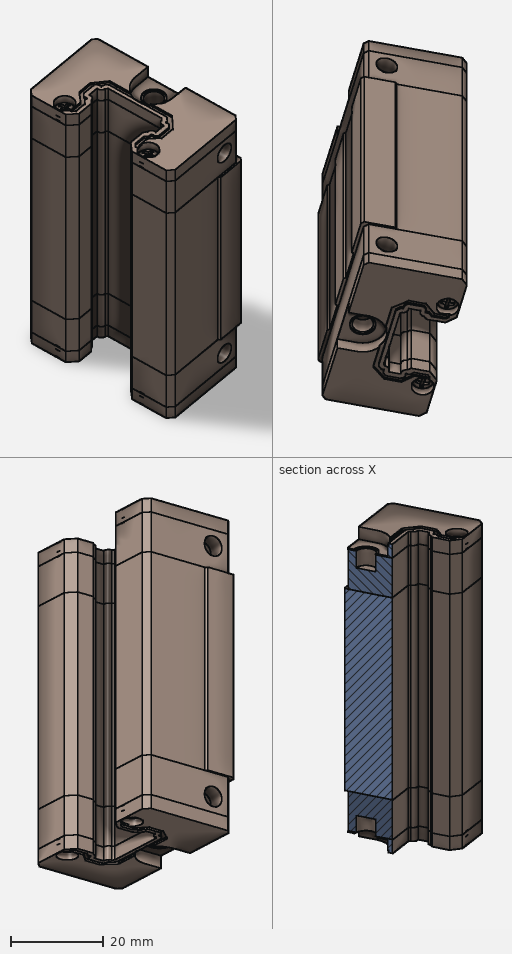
import cadquery as cq
import math

CARRIAGE_WIDTH = 41.47
CARRIAGE_HEIGHT = 23.94
CARRIAGE_LENGTH = 73.04
BLOCK_LENGTH = 47.8
SEAL_THICKNESS = 3.25
CAP_LENGTH = (CARRIAGE_LENGTH - BLOCK_LENGTH) / 2 - SEAL_THICKNESS

CAP_HALF_WIDTH = 20.27
CAP_HEIGHT = 23.15
CAP_TOP_CHAMFER = 0.95
FOOT_CHAMFER = 1.4

SIDE_PAD_BOTTOM = 16.4
SIDE_PAD_STEP = CARRIAGE_WIDTH / 2 - CAP_HALF_WIDTH
BLOCK_TOP_CHAMFER = 0.6
RELIEF_DEPTH = 0.45
RELIEF_INNER_X = 3.75
RELIEF_OUTER_X = 11.6

LIP_THICKNESS = 1.03
LIP_FLOOR_Y = 13.3
LIP_FLOOR_HALF_WIDTH = 8.15
LIP_SIDE_X = 10.6
LIP_JAW_X = 8.28
RACE_X = 9.05
RACE_UPPER_Y = 11.85
RACE_LOWER_Y = 6.95
RACE_STEP = 0.85
LIP_MOUTH_Y = 2.3

CHANNEL_SIDE_X = 9.37
CHANNEL_MOUTH_CHAMFER = 2.05
RIB_RADIUS = 1.12

GROOVE_FLOOR_Y = 14.33
GROOVE_FLOOR_HALF_WIDTH = 8.8
GROOVE_SIDE_X = 11.6
GROOVE_UPPER_Y = 11.2
GROOVE_LOWER_Y = 7.4
GROOVE_JAW_X = 9.27
GROOVE_END_X = 9.5
GROOVE_END_Y = 1.65
GROOVE_DEPTH = 0.5

PORT_Y = 18.75
PORT_RADIUS = 2.3
PORT_CLEARANCE_RADIUS = 2.8
PORT_DEPTH = 4.0
SLOT_RADIUS = 5.25
SLOT_DEPTH = 2.95

SIDE_HOLE_RADIUS = 2.35
SIDE_HOLE_Y = 18.2
SIDE_HOLE_Z = 29.5
SIDE_HOLE_DEPTH = 4.0

SCREW_X = 11.75
SCREW_Y = 2.6
SCREW_RADIUS = 2.42
HEAD_RIM_HEIGHT = 1.2
HEAD_DOME_HEIGHT = 1.0
CROSS_LENGTH = 2.9
CROSS_WIDTH = 0.7
CROSS_DEPTH = 0.9

BLOCK_END = BLOCK_LENGTH / 2
CAP_END = BLOCK_END + CAP_LENGTH
SEAL_END = CAP_END + SEAL_THICKNESS


def mirrored_outline(half):
    """Close the +X half of an outline with its mirror image in -X."""
    return half + [(-x, y) for x, y in reversed(half)]


def lip_outline():
    half = [
        (LIP_FLOOR_HALF_WIDTH, LIP_FLOOR_Y),
        (RACE_X, LIP_FLOOR_Y - (RACE_X - LIP_FLOOR_HALF_WIDTH)),
        (RACE_X, RACE_UPPER_Y),
        (RACE_X + RACE_STEP, RACE_UPPER_Y),
        (LIP_SIDE_X, RACE_UPPER_Y - (LIP_SIDE_X - RACE_X - RACE_STEP)),
        (LIP_SIDE_X, RACE_LOWER_Y + (LIP_SIDE_X - RACE_X - RACE_STEP)),
        (RACE_X + RACE_STEP, RACE_LOWER_Y),
        (RACE_X, RACE_LOWER_Y),
        (RACE_X, RACE_LOWER_Y - RACE_STEP),
        (LIP_JAW_X, RACE_LOWER_Y - RACE_STEP - (RACE_X - LIP_JAW_X)),
        (LIP_JAW_X, LIP_MOUTH_Y),
        (LIP_JAW_X + LIP_MOUTH_Y, 0),
    ]
    return mirrored_outline(half)


def groove_outline():
    """Outer edge of the groove, which runs out into the screw holes."""
    half = [
        (GROOVE_FLOOR_HALF_WIDTH, GROOVE_FLOOR_Y),
        (GROOVE_SIDE_X, GROOVE_UPPER_Y),
        (GROOVE_SIDE_X, GROOVE_LOWER_Y),
        (GROOVE_JAW_X, GROOVE_LOWER_Y - (GROOVE_SIDE_X - GROOVE_JAW_X)),
        (GROOVE_JAW_X, SCREW_Y),
        (GROOVE_END_X, GROOVE_END_Y),
    ]
    return mirrored_outline(half)


def cap_outline():
    half = [
        (CAP_HALF_WIDTH - CAP_TOP_CHAMFER, CAP_HEIGHT),
        (CAP_HALF_WIDTH, CAP_HEIGHT - CAP_TOP_CHAMFER),
        (CAP_HALF_WIDTH, FOOT_CHAMFER),
        (CAP_HALF_WIDTH - FOOT_CHAMFER, 0),
    ]
    return mirrored_outline(half)


def block_outline():
    pad_x = CARRIAGE_WIDTH / 2
    relief_y = CARRIAGE_HEIGHT - RELIEF_DEPTH
    half = [
        (RELIEF_INNER_X, CARRIAGE_HEIGHT),
        (RELIEF_INNER_X + RELIEF_DEPTH, relief_y),
        (RELIEF_OUTER_X - RELIEF_DEPTH, relief_y),
        (RELIEF_OUTER_X, CARRIAGE_HEIGHT),
        (pad_x - BLOCK_TOP_CHAMFER, CARRIAGE_HEIGHT),
        (pad_x, CARRIAGE_HEIGHT - BLOCK_TOP_CHAMFER),
        (pad_x, SIDE_PAD_BOTTOM),
        (CAP_HALF_WIDTH, SIDE_PAD_BOTTOM - SIDE_PAD_STEP),
        (CAP_HALF_WIDTH, FOOT_CHAMFER),
        (CAP_HALF_WIDTH - FOOT_CHAMFER, 0),
    ]
    return mirrored_outline(half)


def prism(outline, z_start, length):
    return cq.Workplane("XY").workplane(offset=z_start).polyline(outline).close().extrude(length)


def rail_channel():
    """Rail clearance through all bodies, with rounded ribs along the ball races."""
    floor_y = LIP_FLOOR_Y - LIP_THICKNESS
    jaw_x = LIP_JAW_X - LIP_THICKNESS
    rib_x = RACE_X - RIB_RADIUS
    rib_upper_y = RACE_UPPER_Y - RIB_RADIUS
    rib_lower_y = RACE_LOWER_Y + RIB_RADIUS
    floor_half_width = rib_x - (floor_y - RACE_UPPER_Y)
    arc_offset = RIB_RADIUS * math.sqrt(0.5)
    half = (
        cq.Workplane("XY")
        .workplane(offset=-SEAL_END)
        .moveTo(0, floor_y)
        .lineTo(floor_half_width, floor_y)
        .lineTo(rib_x, RACE_UPPER_Y)
        .threePointArc((RACE_X - arc_offset, RACE_UPPER_Y - arc_offset), (RACE_X, rib_upper_y))
        .lineTo(CHANNEL_SIDE_X, rib_upper_y)
        .lineTo(CHANNEL_SIDE_X, rib_lower_y)
        .lineTo(RACE_X, rib_lower_y)
        .threePointArc((RACE_X - arc_offset, RACE_LOWER_Y + arc_offset), (rib_x, RACE_LOWER_Y))
        .lineTo(jaw_x, RACE_LOWER_Y - (rib_x - jaw_x))
        .lineTo(jaw_x, CHANNEL_MOUTH_CHAMFER)
        .lineTo(jaw_x + CHANNEL_MOUTH_CHAMFER, 0)
        .lineTo(0, 0)
        .close()
        .extrude(2 * SEAL_END)
    )
    return half.union(half.mirror("YZ"))


def make_block():
    return prism(block_outline(), -BLOCK_END, BLOCK_LENGTH).cut(rail_channel())


def make_end_cap():
    cap = prism(cap_outline(), BLOCK_END, CAP_LENGTH).cut(rail_channel())
    port = (
        cq.Workplane("XY")
        .workplane(offset=CAP_END - PORT_DEPTH)
        .center(0, PORT_Y)
        .circle(PORT_RADIUS)
        .extrude(PORT_DEPTH)
    )
    cap = cap.cut(port)
    for side in (-1, 1):
        side_hole = cq.Solid.makeCylinder(
            SIDE_HOLE_RADIUS,
            SIDE_HOLE_DEPTH,
            cq.Vector(side * CAP_HALF_WIDTH, SIDE_HOLE_Y, SIDE_HOLE_Z),
            cq.Vector(-side, 0, 0),
        )
        cap = cap.cut(cq.Workplane(side_hole))
    return cap


def make_seal():
    plate = prism(cap_outline(), CAP_END, SEAL_THICKNESS)
    groove = prism(groove_outline(), SEAL_END - GROOVE_DEPTH, GROOVE_DEPTH)
    lip = prism(lip_outline(), SEAL_END - GROOVE_DEPTH, GROOVE_DEPTH)
    slot = (
        cq.Workplane("XY")
        .workplane(offset=SEAL_END - SLOT_DEPTH)
        .moveTo(-SLOT_RADIUS, CAP_HEIGHT)
        .lineTo(-SLOT_RADIUS, PORT_Y)
        .threePointArc((0, PORT_Y - SLOT_RADIUS), (SLOT_RADIUS, PORT_Y))
        .lineTo(SLOT_RADIUS, CAP_HEIGHT)
        .close()
        .extrude(SLOT_DEPTH)
    )
    port_clearance = (
        cq.Workplane("XY")
        .workplane(offset=CAP_END)
        .center(0, PORT_Y)
        .circle(PORT_CLEARANCE_RADIUS)
        .extrude(SEAL_THICKNESS)
    )
    screw_holes = (
        cq.Workplane("XY")
        .workplane(offset=CAP_END)
        .pushPoints([(-SCREW_X, SCREW_Y), (SCREW_X, SCREW_Y)])
        .circle(SCREW_RADIUS)
        .extrude(SEAL_THICKNESS)
    )
    seal = plate.cut(groove.cut(lip)).cut(rail_channel())
    return seal.cut(slot).cut(port_clearance).cut(screw_holes)


def make_screw(x):
    """Domed screw head with a cross recess, seated on the end cap."""
    head_height = HEAD_RIM_HEIGHT + HEAD_DOME_HEIGHT
    dome_radius = (SCREW_RADIUS**2 + HEAD_DOME_HEIGHT**2) / (2 * HEAD_DOME_HEIGHT)
    half_angle = math.asin(SCREW_RADIUS / dome_radius) / 2
    dome_middle = (
        dome_radius * math.sin(half_angle),
        head_height - dome_radius * (1 - math.cos(half_angle)),
    )
    head = (
        cq.Workplane("XZ")
        .lineTo(SCREW_RADIUS, 0)
        .lineTo(SCREW_RADIUS, HEAD_RIM_HEIGHT)
        .threePointArc(dome_middle, (0, head_height))
        .close()
        .revolve(360, (0, 0, 0), (0, 1, 0))
    )
    for arm in ((CROSS_LENGTH, CROSS_WIDTH), (CROSS_WIDTH, CROSS_LENGTH)):
        recess_floor = cq.Workplane("XY").workplane(offset=head_height - CROSS_DEPTH)
        recess = recess_floor.rect(*arm).extrude(CROSS_DEPTH)
        head = head.cut(recess)
    return head.translate((x, SCREW_Y, CAP_END))


end_bodies = [make_end_cap(), make_seal()]
for screw_x in (-SCREW_X, SCREW_X):
    end_bodies.append(make_screw(screw_x))

solids = [make_block().val()]
for body in end_bodies:
    solids.append(body.val())
    solids.append(body.mirror("XY").val())

result = cq.Compound.makeCompound(solids)